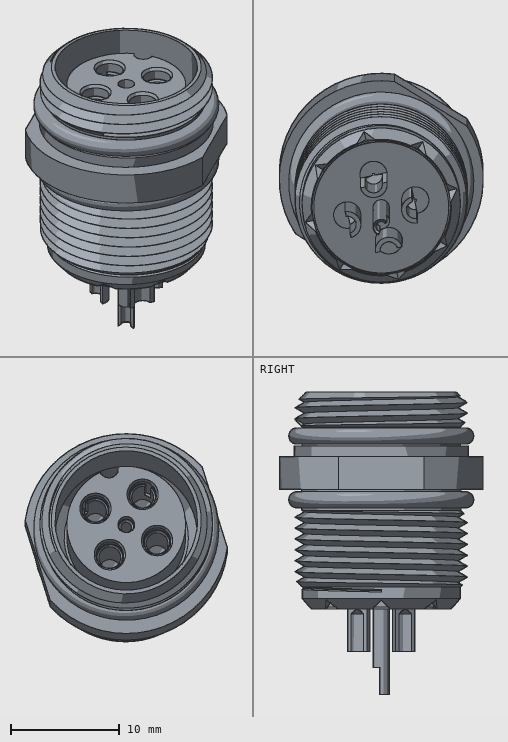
import cadquery as cq
import math


overall_length = 27.8
housing_top = 19.95
flange_bottom = 11.0
flange_thickness = 3.0
flange_top = flange_bottom + flange_thickness
collar_height = 1.0
collar_top = flange_top + collar_height
rear_chamfer_height = 1.0
shoulder_z = 12.0

flange_diameter = 18.73
flange_radius = flange_diameter / 2
flange_across_flats = 17.0
collar_radius = 8.0
upper_neck_radius = 7.28
lower_neck_radius = 7.33
rear_band_radius = 7.27
rear_rim_radius = 6.44
rear_bore_radius = 6.35
front_rim_radius = 6.88
cavity_radius = 6.53
cavity_floor_radius = 5.7

pitch = 1.0
crest_radius = 7.92
root_radius = 7.06
flank_angle = 30
flank_slope = math.tan(math.radians(flank_angle))
crest_flat = 0.01
cutter_radius = 8.2
upper_thread_bottom = 16.75
upper_groove_start = 17.0
upper_groove_angle = -90
upper_groove_run_out = 0.5
lower_thread_bottom = 2.05
lower_thread_top = 9.05
lower_groove_start = 1.7
lower_groove_angle = 0
lower_groove_turns = 7.5

notch_count = 8
notch_depth = 0.84

ring_outer_radius = 8.5
ring_section_radius = 0.75
ring_heights = [10.05, 15.9]

carrier_step_height = 0.2
carrier_step_radius = 6.2
insert_radius = 5.45
insert_recess = 1.82
insert_top = housing_top - insert_recess
key_radius = 0.85

contact_recess = 1.15
contact_top = insert_top - contact_recess
bore_depth = 6.0
drill_tip_angle = 118
slot_depth = 4.0
hole_chamfer_width = 0.18
hole_chamfer_depth = 0.28

power_count = 4
first_power_angle = 45
power_circle_radius = 3.2
power_radius = 1.25
power_bore_radius = 1.0
power_lead_in = 0.17
power_slot_width = 0.6
power_bottom = -3.9
power_cup_radius = 0.81
power_cup_end = -0.42
power_cut_offset = 0.07

ground_radius = 0.75
ground_bore_radius = 0.48
ground_lead_in = 0.2
ground_slot_width = 0.24
ground_bottom = housing_top - overall_length
ground_cup_radius = 0.48
ground_cup_chamfer = 0.22
ground_cut_offset = 0.15
ground_cup_length = 2.5
ground_step_z = ground_bottom + ground_cup_length

power_angles = [first_power_angle + 360 / power_count * i for i in range(power_count)]


def cylinder(radius, bottom, top):
    """Cylinder on the Z axis between two heights."""
    return cq.Workplane("XY").workplane(offset=bottom).circle(radius).extrude(top - bottom)


def box(x_range, y_range, z_range):
    """Axis-aligned box from its limits."""
    (x0, x1), (y0, y1), (z0, z1) = x_range, y_range, z_range
    return cq.Workplane("XY").box(x1 - x0, y1 - y0, z1 - z0, centered=False).translate((x0, y0, z0))


def revolve(points):
    """Turn an (r, z) outline about the Z axis, with the seam of the faces on the -X side."""
    solid = cq.Workplane("XZ").polyline(points).close().revolve(360, (0, 0), (0, 1))
    return solid.rotate((0, 0, 0), (0, 0, 1), 180)


def place_power(shape, angle):
    """Move a shape from the Z axis to a power contact place, its +X side facing outward."""
    return shape.translate((power_circle_radius, 0, 0)).rotate((0, 0, 0), (0, 0, 1), angle)


def o_ring(height):
    """Ring of round section."""
    torus = cq.Solid.makeTorus(ring_outer_radius - ring_section_radius, ring_section_radius)
    return cq.Workplane(torus).rotate((0, 0, 0), (0, 0, 1), 180).translate((0, 0, height))


def groove_cutter(turns, left_handed):
    """V cutter along a helix that starts on the +X side at z = 0 and climbs."""
    half_width = (crest_radius - root_radius) * flank_slope - crest_flat / 2
    profile = cq.Workplane("XZ").polyline([
        (root_radius, 0),
        (crest_radius, half_width),
        (cutter_radius, half_width),
        (cutter_radius, -half_width),
        (crest_radius, -half_width),
    ]).close()
    helix = cq.Wire.makeHelix(pitch, pitch * turns, root_radius, lefthand=left_handed)
    return profile.sweep(cq.Workplane(obj=helix), isFrenet=True)


def cut_thread(body, start_z, start_angle, turns, left_handed):
    """Cut a helical groove upward from the given height and angle, at most one turn at a time."""
    for done in range(math.ceil(turns)):
        cutter = groove_cutter(min(1, turns - done), left_handed)
        cutter = cutter.rotate((0, 0, 0), (0, 0, 1), start_angle)
        body = body.cut(cutter.translate((0, 0, start_z + pitch * done)))
    return body


def housing_blank():
    """Turned outside of the housing, without threads, and its flange with two flats."""
    upper_rise = crest_radius - upper_neck_radius
    lower_rise = crest_radius - lower_neck_radius
    rear_rise = crest_radius - rear_band_radius
    turned = revolve([
        (0, 0),
        (rear_rim_radius, 0),
        (rear_band_radius, rear_chamfer_height),
        (rear_band_radius, lower_thread_bottom),
        (crest_radius, lower_thread_bottom + rear_rise),
        (crest_radius, lower_thread_top - lower_rise),
        (lower_neck_radius, lower_thread_top),
        (lower_neck_radius, flange_bottom),
        (collar_radius, flange_bottom),
        (collar_radius, collar_top),
        (upper_neck_radius, collar_top),
        (upper_neck_radius, upper_thread_bottom),
        (crest_radius, upper_thread_bottom + upper_rise),
        (crest_radius, housing_top - (crest_radius - front_rim_radius)),
        (front_rim_radius, housing_top),
        (0, housing_top),
    ])
    half_flats = flange_across_flats / 2
    flange = cylinder(flange_radius, flange_bottom, flange_top).intersect(
        box((-half_flats, half_flats), (-flange_radius, flange_radius), (flange_bottom, flange_top))
    )
    return turned.union(flange)


def rear_notch(angle):
    """V groove across the rear rim, running outward from the bore."""
    groove = cq.Workplane("YZ").polyline(
        [(-2 * notch_depth, -notch_depth), (2 * notch_depth, -notch_depth), (0, notch_depth)]
    ).close().extrude(crest_radius)
    return groove.rotate((0, 0, 0), (0, 0, 1), angle)


def make_housing():
    housing = housing_blank()
    upper_turns = (housing_top - upper_groove_start + upper_groove_run_out) / pitch
    housing = cut_thread(housing, upper_groove_start, upper_groove_angle, upper_turns, False)
    housing = cut_thread(housing, lower_groove_start, lower_groove_angle, lower_groove_turns, True)
    for height in ring_heights:
        housing = housing.cut(o_ring(height))
    for i in range(notch_count):
        housing = housing.cut(rear_notch(360 / notch_count * i))
    cavity = revolve([
        (0, 0),
        (rear_bore_radius, 0),
        (rear_bore_radius, shoulder_z),
        (cavity_floor_radius, shoulder_z),
        (cavity_radius, shoulder_z + cavity_radius - cavity_floor_radius),
        (cavity_radius, housing_top),
        (0, housing_top),
    ])
    return housing.cut(cavity)


def cut_contact_holes(body, bottom, top):
    """Through holes that fit the contacts."""
    body = body.cut(cylinder(ground_radius, bottom, top))
    for angle in power_angles:
        body = body.cut(place_power(cylinder(power_radius, bottom, top), angle))
    return body


def make_carrier():
    """Stepped plug that fills the rear of the housing up to the shoulder."""
    carrier = revolve([
        (0, 0),
        (carrier_step_radius, 0),
        (carrier_step_radius, carrier_step_height),
        (rear_bore_radius, carrier_step_height),
        (rear_bore_radius, shoulder_z),
        (0, shoulder_z),
    ])
    return cut_contact_holes(carrier, 0, shoulder_z)


def make_insert():
    """Contact insert standing on the carrier, with a key groove and funnelled holes."""
    insert = cut_contact_holes(cylinder(insert_radius, shoulder_z, insert_top), shoulder_z, insert_top)
    insert = insert.cut(cylinder(key_radius, shoulder_z, insert_top).translate((0, insert_radius, 0)))
    funnel = revolve([
        (0, insert_top - hole_chamfer_depth),
        (power_radius, insert_top - hole_chamfer_depth),
        (power_radius + hole_chamfer_width, insert_top),
        (0, insert_top),
    ])
    for angle in power_angles:
        insert = insert.cut(place_power(funnel, angle))
    return insert


def contact_socket(radius, bottom, bore_radius, lead_in, slot_width):
    """Pin with a drilled, countersunk socket and one slot through its +X wall."""
    tip_height = bore_radius / math.tan(math.radians(drill_tip_angle / 2))
    bore_bottom = contact_top - bore_depth
    bore = revolve([
        (0, bore_bottom - tip_height),
        (bore_radius, bore_bottom),
        (bore_radius, contact_top - lead_in),
        (bore_radius + lead_in, contact_top),
        (0, contact_top),
    ])
    slot = box(
        (0, radius), (-slot_width / 2, slot_width / 2), (contact_top - slot_depth, contact_top)
    )
    return cylinder(radius, bottom, contact_top).cut(bore).cut(slot)


def make_power_contact(angle):
    """Socket contact whose solder cup is open on the outward side."""
    contact = contact_socket(
        power_radius, power_bottom, power_bore_radius, power_lead_in, power_slot_width
    )
    tip_height = power_cup_radius / math.tan(math.radians(drill_tip_angle / 2))
    cup = revolve([
        (0, power_bottom),
        (power_cup_radius, power_bottom),
        (power_cup_radius, power_cup_end),
        (0, power_cup_end + tip_height),
    ])
    outer_half = box(
        (-power_cut_offset, power_radius), (-power_radius, power_radius), (power_bottom, 0)
    )
    return place_power(contact.cut(cup).cut(outer_half), angle)


def make_ground_contact():
    """Long socket contact whose solder cup and slot are open toward -Y."""
    contact = contact_socket(
        ground_radius, ground_bottom, ground_bore_radius, ground_lead_in, ground_slot_width
    )
    cup = revolve([
        (0, ground_bottom),
        (ground_cup_radius + ground_cup_chamfer, ground_bottom),
        (ground_cup_radius, ground_bottom + ground_cup_chamfer),
        (ground_cup_radius, ground_step_z),
        (0, ground_step_z),
    ])
    open_side = box(
        (ground_cut_offset, ground_radius),
        (-ground_radius, ground_radius),
        (ground_bottom, ground_step_z),
    )
    return contact.cut(cup).cut(open_side).rotate((0, 0, 0), (0, 0, 1), -90)


housing = make_housing()
o_rings = [o_ring(height) for height in ring_heights]
carrier = make_carrier()
insert = make_insert()
power_contacts = [make_power_contact(angle) for angle in power_angles]
ground_contact = make_ground_contact()

result = cq.Compound.makeCompound([
    housing.val(),
    *[ring.val() for ring in o_rings],
    carrier.val(),
    insert.val(),
    *[contact.val() for contact in power_contacts],
    ground_contact.val(),
])